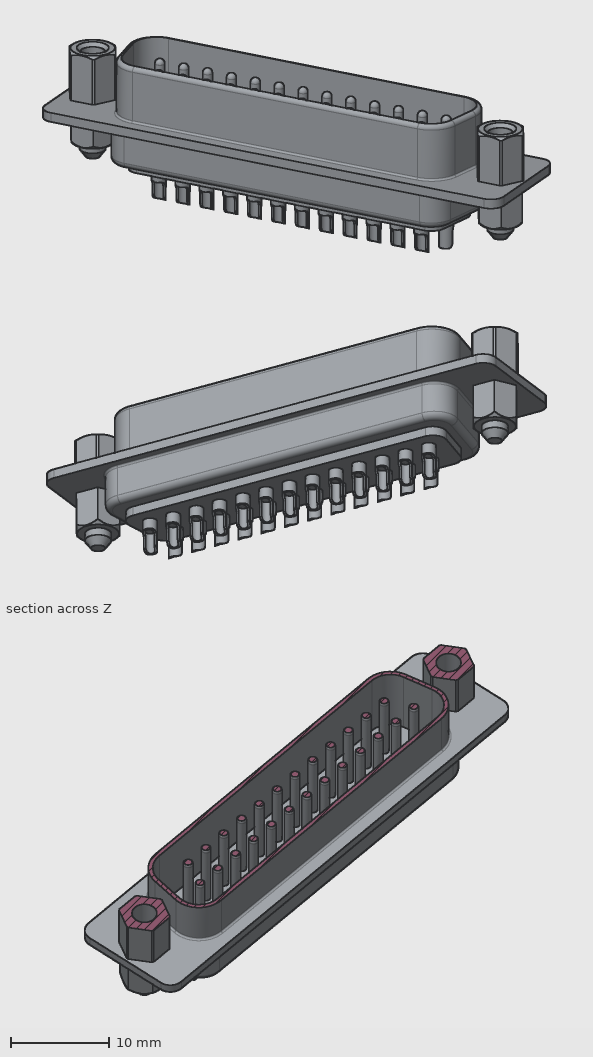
import cadquery as cq
import math


flange_length = 53.05
flange_width = 12.55
flange_thickness = 1.0
flange_corner_radius = 1.5

side_slant = math.radians(10)

shell_top = 7.0
shell_half_width = 19.85
shell_depth = 9.4
shell_corner_radius = 3.0
shell_wall = 0.505
shell_rim_radius = 0.5
shell_root_radius = 0.2
cavity_floor = -1.7

rear_bottom = -4.05
rear_half_width = 20.1
rear_depth = 10.65
rear_corner_radius = 2.5
rear_edge_radius = 0.7

insert_bottom = -5.05
insert_half_width = 18.5
insert_depth = 6.9
insert_corner_radius = 1.5

contact_pitch = 2.75
row_spacing = 2.8
long_row_count = 13
short_row_count = 12
contact_seat = rear_bottom

pin_diameter = 1.0
pin_tip = 5.85

cup_diameter = 1.5
cup_bore_diameter = 1.0
cup_bottom = -8.5
cup_shoulder = -6.2
cup_shoulder_radius = 0.6
cup_end_radius = 0.65

screw_spacing = 47.1
standoff_top = 6.2
standoff_flats = 4.65
standoff_corner_diameter = 5.25
standoff_chamfer_drop = 0.25
standoff_chamfer_inset = 0.35
nut_flats = 4.4
nut_chamfer_drop = 0.4
nut_face_diameter = 4.25
bore_diameter = 2.5
countersink_diameter = 3.3
bore_depth = 4.25
drill_point_angle = math.radians(118)
stud_diameter = 2.7
stud_bottom = -5.7
stud_chamfer_drop = 0.85
stud_chamfer_inset = 0.65


def d_body(half_width, depth, corner_radius, bottom, top):
    """Upright D-shaped block, wider at +Y, with rounded vertical edges."""
    half_depth = depth / 2
    lean = half_depth * math.tan(side_slant)
    outline = [
        (-half_width - lean, half_depth),
        (half_width + lean, half_depth),
        (half_width - lean, -half_depth),
        (-half_width + lean, -half_depth),
    ]
    block = cq.Workplane("XY").workplane(offset=bottom).polyline(outline).close().extrude(top - bottom)
    return block.edges("|Z").fillet(corner_radius)


def cylinder(diameter, bottom, top):
    return cq.Workplane("XY").workplane(offset=bottom).circle(diameter / 2).extrude(top - bottom)


def hexagon(flats, bottom, top):
    """Hexagonal bar with corners on the X axis."""
    across_corners = flats / math.cos(math.pi / 6)
    return cq.Workplane("XY").workplane(offset=bottom).polygon(6, across_corners).extrude(top - bottom)


def make_housing():
    """Flange with the hollow front shell, the rear shell and the rear insert."""
    flange = cq.Workplane("XY").rect(flange_length, flange_width).extrude(flange_thickness)
    flange = flange.edges("|Z").fillet(flange_corner_radius)

    shell = d_body(shell_half_width, shell_depth, shell_corner_radius, 0, shell_top)
    rear = d_body(rear_half_width, rear_depth, rear_corner_radius, rear_bottom, flange_thickness / 2)
    rear = rear.faces("<Z").edges().fillet(rear_edge_radius)
    housing = flange.union(shell).union(rear)

    inside_x = flange_length / 2 - shell_root_radius
    inside_y = flange_width / 2 - shell_root_radius
    for level in (0, flange_thickness):
        root = cq.selectors.BoxSelector(
            (-inside_x, -inside_y, level - shell_root_radius),
            (inside_x, inside_y, level + shell_root_radius),
            boundingbox=True,
        )
        housing = housing.edges(root).fillet(shell_root_radius)

    cavity = d_body(
        shell_half_width - shell_wall / math.cos(side_slant),
        shell_depth - 2 * shell_wall,
        shell_corner_radius - shell_wall,
        cavity_floor,
        shell_top,
    )
    housing = housing.faces(">Z").edges().fillet(shell_rim_radius).cut(cavity)

    insert = d_body(insert_half_width, insert_depth, insert_corner_radius, insert_bottom, cavity_floor)
    return housing.union(insert)


def make_contact():
    """Round-tipped pin and solder cup, the cup opening toward +Y."""
    pin_radius = pin_diameter / 2
    tip_centre = pin_tip - pin_radius
    tip = cq.Workplane("XY").sphere(pin_radius).translate((0, 0, tip_centre))
    pin = cylinder(pin_diameter, contact_seat, tip_centre).union(tip)

    cup_radius = cup_diameter / 2
    cup = cylinder(cup_diameter, cup_bottom, contact_seat)
    cup = cup.cut(cylinder(cup_bore_diameter, cup_bottom, cup_shoulder))

    profile = (
        cq.Workplane("YZ")
        .moveTo(-cup_radius, contact_seat)
        .lineTo(cup_radius, contact_seat)
        .lineTo(cup_radius, cup_shoulder)
        .lineTo(cup_shoulder_radius, cup_shoulder)
        .radiusArc((0, cup_shoulder - cup_shoulder_radius), -cup_shoulder_radius)
        .lineTo(0, cup_bottom + cup_end_radius)
        .radiusArc((-cup_end_radius, cup_bottom), cup_end_radius)
        .lineTo(-cup_radius, cup_bottom)
        .close()
        .extrude(cup_radius, both=True)
    )
    return pin.union(cup.intersect(profile))


def row_points(count):
    first = -(count - 1) * contact_pitch / 2
    return [(first + index * contact_pitch, row_spacing / 2) for index in range(count)]


def make_contacts():
    contact = make_contact().val()

    def place(count, turn):
        row = cq.Workplane("XY").pushPoints(row_points(count))
        row = row.eachpoint(lambda location: contact.moved(location), combine=False)
        return row.rotate((0, 0, 0), (0, 0, 1), turn).vals()

    return place(long_row_count, 0) + place(short_row_count, 180)


def make_jack_screw():
    """Hexagonal standoff above the flange, nut and stud end below it."""
    envelope = cylinder(standoff_corner_diameter, 0, standoff_top)
    envelope = envelope.faces(">Z").chamfer(standoff_chamfer_drop, standoff_chamfer_inset)
    standoff = hexagon(standoff_flats, flange_thickness, standoff_top).intersect(envelope)

    nut = hexagon(nut_flats, rear_bottom, flange_thickness)
    nut_corner_diameter = nut_flats / math.cos(math.pi / 6)
    nut_inset = (nut_corner_diameter - nut_face_diameter) / 2
    nut_envelope = cylinder(nut_corner_diameter, rear_bottom, flange_thickness)
    nut_envelope = nut_envelope.faces("<Z").chamfer(nut_chamfer_drop, nut_inset)
    nut = nut.intersect(nut_envelope)

    stud = cylinder(stud_diameter, stud_bottom, 0)
    stud = stud.faces("<Z").chamfer(stud_chamfer_drop, stud_chamfer_inset)

    bore_radius = bore_diameter / 2
    mouth_radius = countersink_diameter / 2
    bore_end = standoff_top - bore_depth
    bore = (
        cq.Workplane("XZ")
        .moveTo(0, standoff_top)
        .lineTo(mouth_radius, standoff_top)
        .lineTo(bore_radius, standoff_top - (mouth_radius - bore_radius))
        .lineTo(bore_radius, bore_end)
        .lineTo(0, bore_end - bore_radius / math.tan(drill_point_angle / 2))
        .close()
        .revolve(360, (0, 0, 0), (0, 1, 0))
    )
    return standoff.union(nut).union(stud), bore


result = cq.Workplane(make_housing().val().fuse(*make_contacts()))

screw, screw_bore = make_jack_screw()
for screw_x in (-screw_spacing / 2, screw_spacing / 2):
    result = result.union(screw.translate((screw_x, 0, 0)))
    result = result.cut(screw_bore.translate((screw_x, 0, 0)))